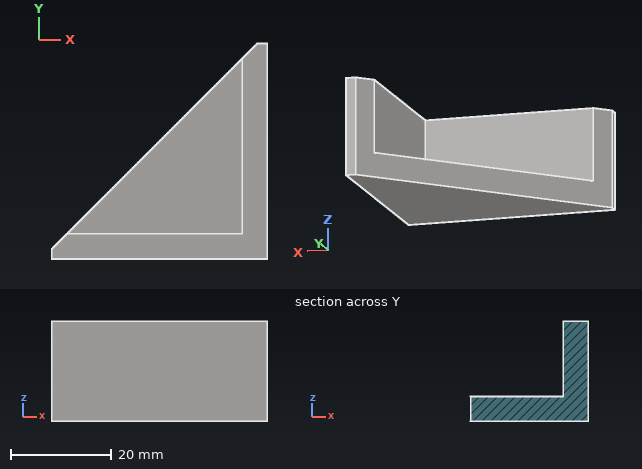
import cadquery as cq

leg_length = 43.0
height = 20.0
wall_thickness = 5.0
floor_thickness = 5.0
tip_width = 2.0

inner_x = leg_length - wall_thickness
inner_y = wall_thickness


def bracket_body():
    """Solid right-angled block with blunted tips and its corner at +X, -Y."""
    outline = [
        (0, 0),
        (leg_length, 0),
        (leg_length, leg_length),
        (leg_length - tip_width, leg_length),
        (0, tip_width),
    ]
    return cq.Workplane("XY").polyline(outline).close().extrude(height)


def pocket():
    """Triangular space above the floor, open at the top and the sloping side."""
    outline = [
        (inner_y - tip_width, inner_y),
        (inner_x, inner_y),
        (inner_x, inner_x + tip_width),
    ]
    floor_plane = cq.Workplane("XY").workplane(offset=floor_thickness)
    return floor_plane.polyline(outline).close().extrude(height - floor_thickness)


result = bracket_body().cut(pocket())